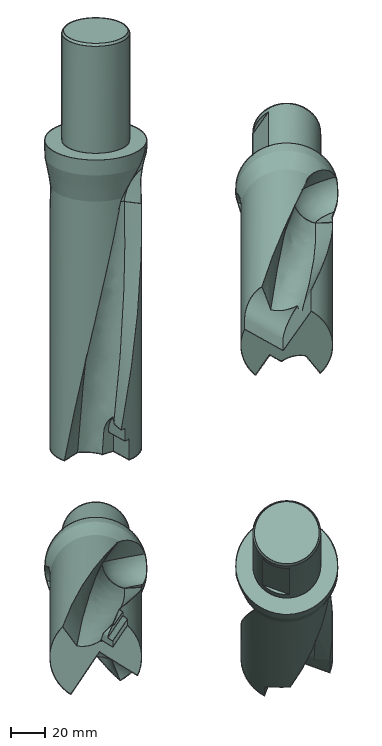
import cadquery as cq
import math

BODY_RADIUS = 27.0
COLLAR_RADIUS = 30.0
SHANK_RADIUS = 20.0
CONE_START_Z = 169.0
COLLAR_START_Z = 187.0
COLLAR_TOP_Z = 197.0
SHANK_LENGTH = 70.0
SHANK_TOP_Z = COLLAR_TOP_Z + SHANK_LENGTH
SHANK_CHAMFER_WIDTH = 1.0
SHANK_CHAMFER_HEIGHT = 1.5

FLAT_Y = 18.1
FLAT_BOTTOM_Z = 204.5
FLAT_TOP_Z = 260.5

TWIST_RATE = 0.455
FLUTE_CENTRE_ANGLE = 134.5
FLUTE_HALF_ANGLE = 33.5
FLOOR_U = 8.0
LEADING_CREASE = (9.3, -9.3)
TRAILING_CREASE = (13.5, 10.5)
FLUTE_REACH = 1.3
FLUTE_END_Z = 159.0

RUNOUT_RADIUS = 40.0
RUNOUT_ANGLE = 70.0
RUNOUT_LEAN = 15.0
RUNOUT_VEER = 20.0

SEAT_WALL_HEIGHT = 14.0
CENTRE_RAKE_Y = 0.0
CENTRE_WALL_X = 4.0
CENTRE_GULLET_RADIUS = 17.0
OUTER_RAKE_Y = 1.5
OUTER_WALL_X = 10.7
OUTER_GULLET_RADIUS = 14.0
OUTER_GULLET_WIDTH = 4.9
OUTER_SHELF_X = 18.0
OUTER_SHELF_Z = 21.0
OUTER_POCKET_DEPTH = 3.5
OUTER_POCKET_HEIGHT = 13.2

NIB_X = 10.3
NIB_Y = -2.9
NIB_RADIUS = 0.4
NIB_LENGTH = 0.57

CLEARANCE = 5.0
TRIM_ALLOWANCE = 15.0


def turned_blank():
    """Body, flared collar and chamfered shank as one turned shape."""
    profile = [
        (0, 0),
        (BODY_RADIUS, 0),
        (BODY_RADIUS, CONE_START_Z),
        (COLLAR_RADIUS, COLLAR_START_Z),
        (COLLAR_RADIUS, COLLAR_TOP_Z),
        (SHANK_RADIUS, COLLAR_TOP_Z),
        (SHANK_RADIUS, SHANK_TOP_Z - SHANK_CHAMFER_HEIGHT),
        (SHANK_RADIUS - SHANK_CHAMFER_WIDTH, SHANK_TOP_Z),
        (0, SHANK_TOP_Z),
    ]
    return cq.Workplane("XZ").polyline(profile).close().revolve(360, (0, 0, 0), (0, 1, 0))


def shank_flat():
    """Block that cuts the clamping flat."""
    height = FLAT_TOP_Z - FLAT_BOTTOM_Z
    return (
        cq.Workplane("XY")
        .box(2 * SHANK_RADIUS, SHANK_RADIUS, height, centered=(True, False, False))
        .translate((0, FLAT_Y, FLAT_BOTTOM_Z))
    )


def flute_section():
    """U-shaped flute outline, open outward and closed well outside the body."""
    half = math.radians(FLUTE_HALF_ANGLE)
    edge_u = BODY_RADIUS * math.cos(half)
    edge_v = BODY_RADIUS * math.sin(half)

    def run_on(crease, v):
        return (
            crease[0] + FLUTE_REACH * (edge_u - crease[0]),
            crease[1] + FLUTE_REACH * (v - crease[1]),
        )

    leading_end = run_on(LEADING_CREASE, -edge_v)
    trailing_end = run_on(TRAILING_CREASE, edge_v)
    outer_u = COLLAR_RADIUS + CLEARANCE
    return (
        cq.Workplane("XY")
        .moveTo(outer_u, leading_end[1])
        .lineTo(*leading_end)
        .lineTo(*LEADING_CREASE)
        .threePointArc((FLOOR_U, 0), TRAILING_CREASE)
        .lineTo(*trailing_end)
        .lineTo(outer_u, trailing_end[1])
        .close()
    )


def place_at_flute_end(shape):
    """Lean a shape with the helix and set it at the upper end of the flute."""
    end_angle = FLUTE_CENTRE_ANGLE + TWIST_RATE * FLUTE_END_Z
    return (
        shape.rotate((0, 0, 0), (1, 0, 0), -RUNOUT_LEAN)
        .rotate((0, 0, 0), (0, 0, 1), end_angle)
        .translate((0, 0, FLUTE_END_Z))
    )


def helical_flute():
    """Twisted groove from below the tip face up to the leaning start of the run-out."""
    height = FLUTE_END_Z + TRIM_ALLOWANCE
    start_angle = FLUTE_CENTRE_ANGLE - TWIST_RATE * CLEARANCE
    groove = (
        flute_section()
        .twistExtrude(height, TWIST_RATE * height)
        .rotate((0, 0, 0), (0, 0, 1), start_angle)
        .translate((0, 0, -CLEARANCE))
    )
    trim_size = 4 * COLLAR_RADIUS
    trim = cq.Workplane("XY").box(trim_size, trim_size, trim_size, centered=(True, True, False))
    return groove.cut(place_at_flute_end(trim))


def flute_runout():
    """Flute section swung outward on an arc, leaning with the helix."""
    veer_cos = math.cos(math.radians(RUNOUT_VEER))
    veer_sin = math.sin(math.radians(RUNOUT_VEER))
    pivot = (FLOOR_U + RUNOUT_RADIUS * veer_cos, RUNOUT_RADIUS * veer_sin, 0)
    axis_end = (pivot[0] - veer_sin, pivot[1] + veer_cos, 0)
    return place_at_flute_end(flute_section().revolve(RUNOUT_ANGLE, pivot, axis_end))


def centre_seat():
    """Seat open toward -X and +Y, with a gullet curving up to the flute."""
    outer_x = -BODY_RADIUS - CLEARANCE
    ceiling_z = SEAT_WALL_HEIGHT + CENTRE_GULLET_RADIUS
    bend = CENTRE_GULLET_RADIUS * math.sqrt(0.5)
    arc_end_x = CENTRE_WALL_X - CENTRE_GULLET_RADIUS
    profile = (
        cq.Workplane("XZ", origin=(0, CENTRE_RAKE_Y, 0))
        .moveTo(outer_x, -CLEARANCE)
        .lineTo(CENTRE_WALL_X, -CLEARANCE)
        .lineTo(CENTRE_WALL_X, SEAT_WALL_HEIGHT)
        .threePointArc((arc_end_x + bend, SEAT_WALL_HEIGHT + bend), (arc_end_x, ceiling_z))
        .lineTo(outer_x, ceiling_z)
        .close()
    )
    return profile.extrude(-BODY_RADIUS - CLEARANCE)


def outer_seat():
    """Seat open toward +X and -Y, with its gullet and a deeper insert pocket."""
    outer_x = BODY_RADIUS + CLEARANCE

    def gullet_point(width):
        rise = math.sqrt(OUTER_GULLET_RADIUS**2 - (OUTER_GULLET_RADIUS - width) ** 2)
        return (OUTER_WALL_X + width, SEAT_WALL_HEIGHT + rise)

    gullet = (
        cq.Workplane("XZ", origin=(0, OUTER_RAKE_Y, 0))
        .moveTo(outer_x, -CLEARANCE)
        .lineTo(OUTER_WALL_X, -CLEARANCE)
        .lineTo(OUTER_WALL_X, SEAT_WALL_HEIGHT)
        .threePointArc(gullet_point(OUTER_GULLET_WIDTH / 2), gullet_point(OUTER_GULLET_WIDTH))
        .lineTo(OUTER_SHELF_X, OUTER_SHELF_Z)
        .lineTo(outer_x, OUTER_SHELF_Z)
        .close()
        .extrude(BODY_RADIUS + CLEARANCE)
    )
    pocket = (
        cq.Workplane("XY")
        .box(BODY_RADIUS, OUTER_POCKET_DEPTH, OUTER_POCKET_HEIGHT + CLEARANCE, centered=False)
        .translate((OUTER_WALL_X, OUTER_RAKE_Y, -CLEARANCE))
    )
    return gullet.union(pocket)


def corner_nib():
    """Small cone pointing down from the corner beside the outer seat."""
    return cq.Workplane(
        cq.Solid.makeCone(NIB_RADIUS, 0, NIB_LENGTH, cq.Vector(NIB_X, NIB_Y, 0), cq.Vector(0, 0, -1))
    )


result = turned_blank().cut(shank_flat())
for flute_turn in (0, 180):
    for cutter in (helical_flute(), flute_runout()):
        result = result.cut(cutter.rotate((0, 0, 0), (0, 0, 1), flute_turn))
result = result.cut(centre_seat()).cut(outer_seat())
result = result.union(corner_nib())